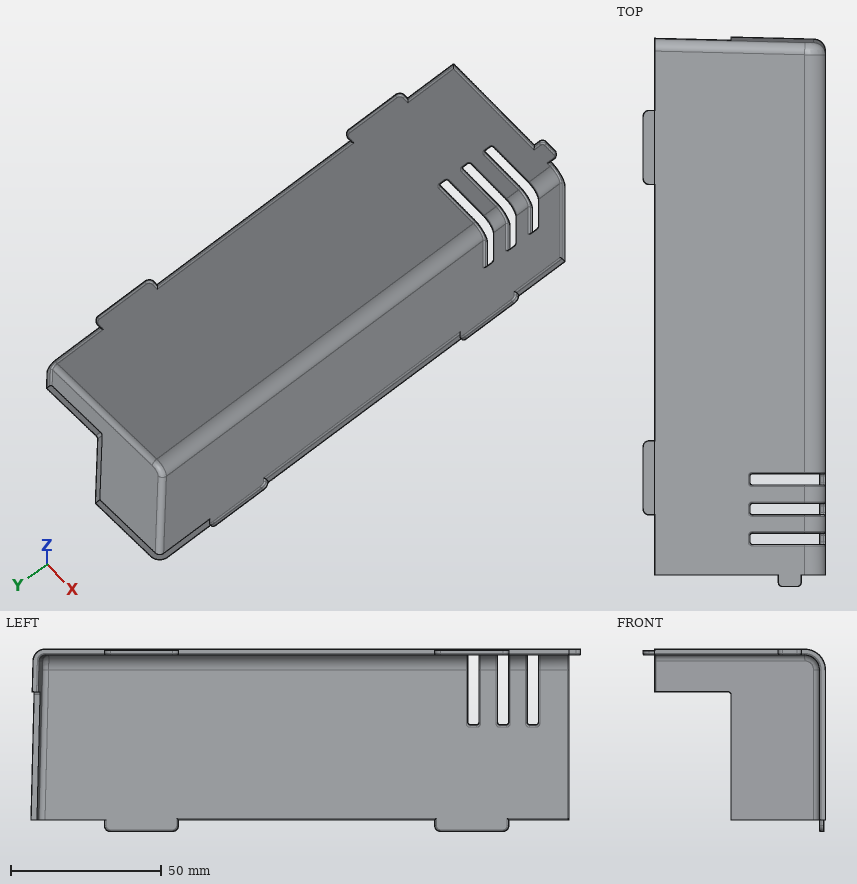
import cadquery as cq
import math

width = 57.0
height = 57.0
length = 179.4
sheet = 2.0
bend_radius = 7.0
end_radius = 4.0

lean_angle = 1.4
notch_width = 25.5
notch_top = -14.3
notch_radius = 1.0

tab_reach = 3.8
tab_step = 0.5
tab_length = 24.7
tab_radius = 2.0
tab_centres = (32.5, 142.5)
front_tab_width = 7.7
front_tab_centre = 45.0
front_tab_radius = 1.5

slot_count = 3
slot_pitch = 9.9
slot_first = 12.1
slot_width = 3.7
slot_reach = 25.0
slot_end_draft = 0.7
slot_corner_radius = 0.7

edge_radius = 0.5

overrun = 18.3
cutter_size = 4 * width
tolerance = 0.02
tab_root = 1.8

lean_slope = math.tan(math.radians(lean_angle))
lean_at_notch = lean_slope * (width - notch_width + height)
end_corner = length - lean_at_notch


def box(x_range, y_range, z_range):
    sizes = [high - low for low, high in (x_range, y_range, z_range)]
    corner = (x_range[0], y_range[0], z_range[0])
    return cq.Workplane("XY").box(*sizes, centered=False).translate(corner)


def rounded_block(inset):
    """Block bounded by the top, side and end faces of the shell moved inward by inset."""
    block = box(
        (-overrun, width - inset), (-overrun, length + overrun), (-height - overrun, -inset)
    )
    block = block.edges("|Y and >X and >Z").fillet(bend_radius - inset)
    end_plane = cq.Plane(
        origin=(width, end_corner, 0), xDir=(1, -lean_slope, 0), normal=(lean_slope, 1, lean_slope)
    )
    beyond_end = cq.Workplane(end_plane).workplane(offset=-inset).rect(cutter_size, cutter_size)
    block = block.cut(beyond_end.extrude(2 * overrun))
    return block.faces(">Y").edges().fillet(end_radius - inset)


def make_shell():
    """L-shaped sheet with its end wall, notched below the free edge of the top plate."""
    limits = box((0, width), (0, length + overrun), (-height, 0))
    shell = rounded_block(0).cut(rounded_block(sheet)).intersect(limits)
    notch = box(
        (-overrun, notch_width), (length - overrun, length + overrun), (-height - overrun, notch_top)
    )
    return shell.cut(notch.edges("|Y and >X and >Z").fillet(notch_radius))


def top_edge_tab(centre):
    tab = box(
        (-tab_reach, tab_root),
        (centre - tab_length / 2, centre + tab_length / 2),
        (-sheet, -tab_step),
    )
    return tab.edges("|Z and <X").fillet(tab_radius)


def bottom_edge_tab(centre):
    tab = box(
        (width - sheet, width - tab_step),
        (centre - tab_length / 2, centre + tab_length / 2),
        (-height - tab_reach, -height + tab_root),
    )
    return tab.edges("|X and <Z").fillet(tab_radius)


def front_tab():
    tab = box(
        (front_tab_centre - front_tab_width / 2, front_tab_centre + front_tab_width / 2),
        (-tab_reach, tab_root),
        (-sheet, 0),
    )
    return tab.edges("|Z and <Y").fillet(front_tab_radius)


def top_slot_part(centre):
    """Slot through the top plate and the bend, longer at the inner face."""
    end_slope = slot_end_draft / sheet
    outer_x = width - slot_reach
    inner_x = outer_x - end_slope * bend_radius
    part = (
        cq.Workplane("XZ", origin=(0, centre, 0))
        .moveTo(outer_x + end_slope * overrun, overrun)
        .lineTo(inner_x, -bend_radius)
        .lineTo(width + overrun, -bend_radius)
        .lineTo(width + overrun, overrun)
        .close()
        .extrude(slot_width / 2, both=True)
    )
    return part.faces("<X").edges("not |Y").fillet(slot_corner_radius)


def wrap_slot(centre):
    """Slot through both plates, symmetric about the diagonal plane of the bend."""
    top_part = top_slot_part(centre)
    side_part = top_part.mirror(cq.Vector(1, 0, -1), (width, centre, 0))
    return top_part.union(side_part)


def edges_within(x_range, y_range, z_range):
    """Selector for edges centred inside a box that is widened by a small tolerance."""
    low, high = zip(x_range, y_range, z_range)
    return cq.selectors.BoxSelector([v - tolerance for v in low], [v + tolerance for v in high])


def round_slot_rim(body, centre):
    """Round both rims of a slot; each long edge carries the rounding around its whole rim."""
    y_range = (centre - slot_width / 2, centre + slot_width / 2)
    around_slot = edges_within((width - slot_reach, width), y_range, (-sheet, 0))
    return body.edges(around_slot).edges("|X").fillet(edge_radius)


shell = make_shell()
slot_centres = [slot_first + index * slot_pitch for index in range(slot_count)]
for slot_centre in slot_centres:
    shell = shell.cut(wrap_slot(slot_centre))
    shell = round_slot_rim(shell, slot_centre)

shell = shell.union(front_tab())
for tab_centre in tab_centres:
    shell = shell.union(top_edge_tab(tab_centre)).union(bottom_edge_tab(tab_centre))

side_wall_inner = (width - sheet, width - sheet)
top_plate_inner = (-sheet, -sheet)
top_edges = shell.edges(edges_within((-tab_reach, 0), (0, length), top_plate_inner))

last_tab_end = tab_centres[-1] + tab_length / 2
bottom_edges = shell.edges(edges_within(side_wall_inner, (0, last_tab_end), (-height - tab_reach, -height)))
front_edges = shell.edges(edges_within((0, width), (-tab_reach, 0), top_plate_inner))
free_edges = top_edges.add(bottom_edges).add(front_edges)
result = free_edges.fillet(edge_radius)